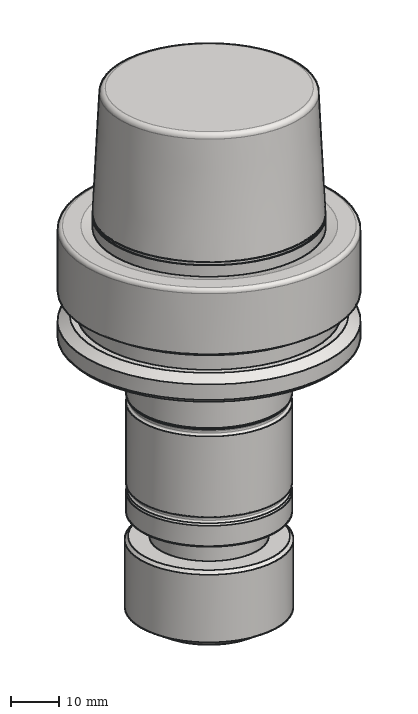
import cadquery as cq
import math

total_height = 121.9
flange_top = 90.3
flange_bottom = 64.1
collar_bottom = 24.5
nut_top = 19.1

taper_top_radius = 22.8
taper_base_radius = 24.3
taper_base = 93.1
taper_round = 1.2
relief_height = 0.7
relief_depth = 0.2

flange_diameter = 63.0
flange_radius = flange_diameter / 2
flange_top_round = 1.0
flange_bottom_chamfer = 0.9
grip_floor_radius = 27.4
grip_top = 74.0
grip_bottom = 70.0
grip_bevel_height = 1.5
grip_bevel_angle = 60
grip_bevel_width = grip_bevel_height * math.tan(math.radians(grip_bevel_angle))
recess_radius = 26.7
recess_depth = 0.5

body_radius = 17.3
body_fillet = 2.4
collar_chamfer = 0.4
groove_depth = 0.7
groove_width = 1.5
groove_chamfer = 0.5
groove_floor_round = 0.5
upper_groove_start = 50.0
lower_groove_start = 31.5

neck_radius = 12.4
neck_fillet = 1.0
nut_radius = 17.5
nut_top_chamfer = 0.7
nut_face_radius = 12.5
nut_bevel_height = 2.9


def disc(radius, bottom, top):
    """Cylinder on the tool axis between two heights."""
    return cq.Workplane("XY").workplane(offset=bottom).circle(radius).extrude(top - bottom)


def turned(profile):
    """Revolve a closed (radius, height) polyline about the tool axis."""
    return cq.Workplane("XZ").polyline(profile).close().revolve(360, (0, 0), (0, 1))


def make_shank():
    cone = turned([
        (0, taper_base),
        (taper_base_radius, taper_base),
        (taper_top_radius, total_height),
        (0, total_height),
    ]).faces(">Z").edges().fillet(taper_round)
    relief = disc(taper_base_radius - relief_depth, taper_base - relief_height, taper_base)
    root = disc(taper_base_radius, flange_top - recess_depth, taper_base - relief_height)
    return cone.union(relief).union(root)


def make_flange():
    flange = disc(flange_radius, flange_bottom, flange_top)
    flange = flange.faces(">Z").edges().fillet(flange_top_round)
    flange = flange.faces("<Z").edges().chamfer(flange_bottom_chamfer)
    bevel_radius = flange_radius - grip_bevel_width
    grip_groove = turned([
        (grip_floor_radius, grip_bottom),
        (bevel_radius, grip_bottom),
        (flange_radius, grip_bottom - grip_bevel_height),
        (flange_radius, grip_top + grip_bevel_height),
        (bevel_radius, grip_top),
        (grip_floor_radius, grip_top),
    ])
    recess = turned([
        (0, flange_top - recess_depth),
        (taper_base_radius, flange_top - recess_depth),
        (recess_radius, flange_top),
        (0, flange_top),
    ])
    return flange.cut(grip_groove).cut(recess)


def make_ring_groove(start, direction):
    """Round-cornered groove running from its square edge toward its chamfered edge."""
    floor = body_radius - groove_depth
    end = start + direction * groove_width
    step = direction * groove_floor_round
    corner = groove_floor_round * (1 - math.sqrt(0.5))
    return (
        cq.Workplane("XZ")
        .moveTo(body_radius, start)
        .lineTo(floor + groove_floor_round, start)
        .threePointArc((floor + corner, start + direction * corner), (floor, start + step))
        .lineTo(floor, end - step)
        .threePointArc((floor + corner, end - direction * corner), (floor + groove_floor_round, end))
        .lineTo(body_radius, end + direction * groove_chamfer)
        .close()
        .revolve(360, (0, 0), (0, 1))
    )


def make_body():
    body = disc(body_radius, collar_bottom, flange_bottom)
    body = body.faces("<Z").edges().chamfer(collar_chamfer)
    for start, direction in ((upper_groove_start, 1), (lower_groove_start, -1)):
        body = body.cut(make_ring_groove(start, direction))
    return body


def make_root_fillet(radius, shoulder, size):
    """Concave ring blending a cylinder into the shoulder above it."""
    bulge = size * (1 - math.sqrt(0.5))
    return (
        cq.Workplane("XZ")
        .moveTo(0, shoulder)
        .lineTo(0, shoulder - size)
        .lineTo(radius, shoulder - size)
        .threePointArc((radius + bulge, shoulder - bulge), (radius + size, shoulder))
        .close()
        .revolve(360, (0, 0), (0, 1))
    )


def make_nut():
    return turned([
        (0, 0),
        (nut_face_radius, 0),
        (nut_radius, nut_bevel_height),
        (nut_radius, nut_top - nut_top_chamfer),
        (nut_radius - nut_top_chamfer, nut_top),
        (0, nut_top),
    ])


result = (
    make_flange()
    .union(make_shank())
    .union(make_body())
    .union(make_root_fillet(body_radius, flange_bottom, body_fillet))
    .union(disc(neck_radius, nut_top, collar_bottom))
    .union(make_root_fillet(neck_radius, collar_bottom, neck_fillet))
    .union(make_nut())
)